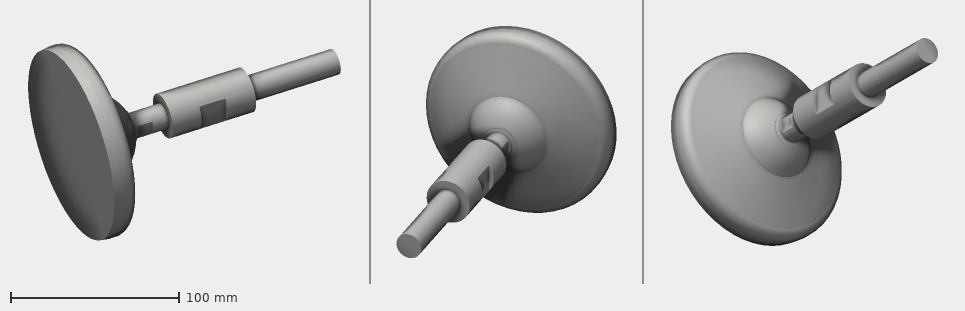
import cadquery as cq
import math

TOTAL_LENGTH = 174.0

PAD_RADIUS = 60.0
FLOOR_RADIUS = 59.2
RIM_START = 6.0
RIM_END = 9.0
SHOULDER_RADIUS = 54.5
SHOULDER_Y = 15.8
CONE_TOP_RADIUS = 25.2
CONE_TOP_Y = 26.3
DOME_BASE_RADIUS = 23.7
DOME_BASE_Y = 27.8
DOME_SPHERE_RADIUS = 29.8
SEAT_Y = 37.8

STEM_RADIUS = 8.0
STEM_FLAT_DISTANCE = 6.52
STEM_FLAT_START = 40.9
STEM_FLAT_END = 50.5
COLLAR_BASE_RADIUS = 9.0
COLLAR_RADIUS = 10.3
COLLAR_EDGE_Y = 38.5
COLLAR_TOP_Y = 39.3

SLEEVE_RADIUS = 14.0
SLEEVE_START = 60.5
SLEEVE_LENGTH = 54.8
SLEEVE_FLAT_DISTANCE = 10.8
SLEEVE_FLAT_WIDTH = 17.2


def revolve_about_y(profile):
    return profile.close().revolve(360, (0, 0, 0), (0, 1, 0))


def cylinder_along_y(radius, start, end):
    return cq.Workplane("XZ", origin=(0, start, 0)).circle(radius).extrude(start - end)


def cut_flats(body, radius, distance, start, end):
    """Cut a pair of wrench flats facing -X and +X."""
    depth = radius - distance
    for side in (-1, 1):
        cutter = cq.Workplane("XY").box(depth, end - start, 2 * radius).translate(
            (side * (distance + depth / 2), (start + end) / 2, 0)
        )
        body = body.cut(cutter)
    return body


def make_pad():
    dome_center_y = DOME_BASE_Y - math.sqrt(DOME_SPHERE_RADIUS**2 - DOME_BASE_RADIUS**2)
    seat_radius = math.sqrt(DOME_SPHERE_RADIUS**2 - (SEAT_Y - dome_center_y) ** 2)
    profile = (
        cq.Workplane("XY")
        .lineTo(FLOOR_RADIUS, 0)
        .lineTo(PAD_RADIUS, RIM_START)
        .lineTo(PAD_RADIUS, RIM_END)
        .tangentArcPoint((SHOULDER_RADIUS, SHOULDER_Y), relative=False)
        .lineTo(CONE_TOP_RADIUS, CONE_TOP_Y)
        .lineTo(DOME_BASE_RADIUS, DOME_BASE_Y)
        .radiusArc((seat_radius, SEAT_Y), -DOME_SPHERE_RADIUS)
        .lineTo(0, SEAT_Y)
    )
    return revolve_about_y(profile)


def make_stem():
    """Rod with a flared collar that rests on the pad's seat."""
    profile = (
        cq.Workplane("XY")
        .moveTo(0, SEAT_Y)
        .lineTo(COLLAR_BASE_RADIUS, SEAT_Y)
        .lineTo(COLLAR_RADIUS, COLLAR_EDGE_Y)
        .lineTo(STEM_RADIUS, COLLAR_TOP_Y)
        .lineTo(STEM_RADIUS, TOTAL_LENGTH)
        .lineTo(0, TOTAL_LENGTH)
    )
    stem = revolve_about_y(profile)
    return cut_flats(stem, STEM_RADIUS, STEM_FLAT_DISTANCE, STEM_FLAT_START, STEM_FLAT_END)


def make_sleeve():
    """Tube around the stem with flats at mid-length."""
    end = SLEEVE_START + SLEEVE_LENGTH
    middle = SLEEVE_START + SLEEVE_LENGTH / 2
    sleeve = cylinder_along_y(SLEEVE_RADIUS, SLEEVE_START, end)
    bore = cylinder_along_y(STEM_RADIUS, SLEEVE_START, end)
    return cut_flats(
        sleeve.cut(bore),
        SLEEVE_RADIUS,
        SLEEVE_FLAT_DISTANCE,
        middle - SLEEVE_FLAT_WIDTH / 2,
        middle + SLEEVE_FLAT_WIDTH / 2,
    )


pad = make_pad()
stem = make_stem()
sleeve = make_sleeve()
result = cq.Compound.makeCompound([pad.val(), stem.val(), sleeve.val()])